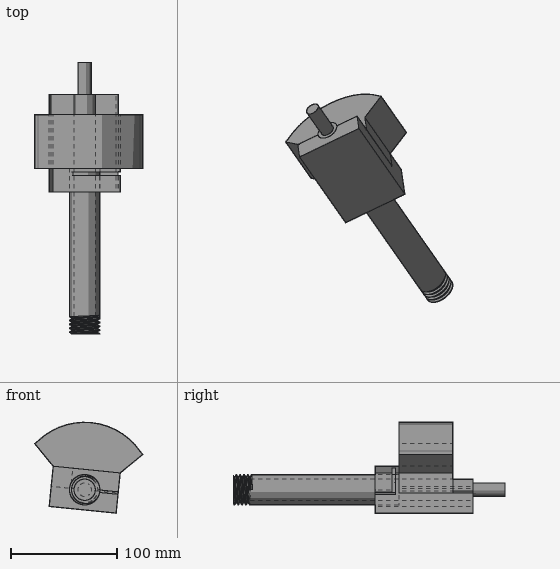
import cadquery as cq
import math

INCH = 25.4
TILT = 5.73

block_width = 2.5 * INCH
block_half_height = 0.75 * INCH
clamp_length = 0.875 * INCH
ledge_length = 0.75 * INCH

relief_width = 0.125 * INCH
web_thickness = 0.125 * INCH
relief_left = -13.1
slit_gap = 0.09375 * INCH

weight_length = 2.0 * INCH
weight_radius = 2.5 * INCH
rim_half_width = 1.9 * INCH

sleeve_diameter = 1.125 * INCH
sleeve_reach = 5.25 * INCH
shaft_diameter = 20.0
pin_diameter = 0.5 * INCH
pin_length = 30.0

thread_pitch = INCH / 7
thread_turns = 5
thread_flank_slope = math.tan(math.radians(30))
thread_root_width = thread_pitch / 4
thread_crest_width = thread_pitch / 8
thread_lead_in = thread_pitch / 2
cut_clearance = 0.2

weight_rear = clamp_length + weight_length
block_length = weight_rear + ledge_length
sleeve_front = -sleeve_reach


def box(x_range, y_range, z_range):
    """Box between the given limits on each axis."""
    size = [high - low for low, high in (x_range, y_range, z_range)]
    corner = cq.Vector(x_range[0], y_range[0], z_range[0])
    return cq.Workplane(cq.Solid.makeBox(*size, corner))


def rod(diameter, y_start, y_end):
    """Solid cylinder along the Y axis."""
    origin = cq.Vector(0, y_start, 0)
    return cq.Workplane(cq.Solid.makeCylinder(diameter / 2, y_end - y_start, origin, cq.Vector(0, 1, 0)))


def tilted(body):
    return body.rotate((0, 0, 0), (0, 1, 0), TILT)


def make_block():
    half_width = block_width / 2
    full_width = (-half_width, half_width)
    lower_half = box(full_width, (0, block_length), (-block_half_height, 0))
    upper_clamp = box(full_width, (0, clamp_length), (0, block_half_height))
    block = lower_half.union(upper_clamp)

    block = block.cut(rod(sleeve_diameter, 0, clamp_length))
    block = block.cut(rod(shaft_diameter, clamp_length, block_length))

    relief_rear = clamp_length - web_thickness
    relief_front = relief_rear - relief_width
    half_gap = slit_gap / 2
    slit = box((0, half_width), (0, relief_rear), (-half_gap, half_gap))
    right_relief = box((0, half_width), (relief_front, relief_rear), (-half_gap, block_half_height))
    left_relief = box((relief_left, 0), (relief_front, relief_rear), (0, block_half_height))
    return tilted(block.cut(slit).cut(right_relief).cut(left_relief))


def make_weight():
    """Round-topped weight, its neck flaring at 45 degrees to tips with short square-on flats."""
    neck = block_width / 2
    rim = rim_half_width
    rim_height = math.sqrt(weight_radius**2 - rim**2)
    flare_offset = neck - block_half_height
    tip = (rim + rim_height + flare_offset) / 2
    tip_height = tip - flare_offset
    weight = (
        cq.Workplane("XZ", origin=(0, weight_rear, 0))
        .moveTo(-neck, 0)
        .lineTo(-neck, block_half_height)
        .lineTo(-tip, tip_height)
        .lineTo(-rim, rim_height)
        .threePointArc((0, weight_radius), (rim, rim_height))
        .lineTo(tip, tip_height)
        .lineTo(neck, block_half_height)
        .lineTo(neck, 0)
        .close()
        .extrude(weight_length)
    )
    return tilted(weight.cut(rod(shaft_diameter, clamp_length, weight_rear)))


def make_thread_groove():
    """Right-hand helical groove, built up the Z axis and then laid along +Y."""
    half_root = thread_root_width / 2
    half_mouth = (thread_pitch - thread_crest_width) / 2
    depth = (half_mouth - half_root) / thread_flank_slope
    root_radius = sleeve_diameter / 2 - depth
    outer_radius = sleeve_diameter / 2 + cut_clearance
    half_outer = half_mouth + cut_clearance * thread_flank_slope
    helix = cq.Wire.makeHelix(thread_pitch, thread_turns * thread_pitch, root_radius)
    groove = (
        cq.Workplane("XZ")
        .moveTo(root_radius, -half_root)
        .lineTo(root_radius, half_root)
        .lineTo(outer_radius, half_outer)
        .lineTo(outer_radius, -half_outer)
        .close()
        .sweep(cq.Workplane(helix), isFrenet=True)
    )
    laid_down = groove.rotate((0, 0, 0), (1, 0, 0), -90)
    return laid_down.translate((0, sleeve_front - thread_lead_in, 0))


def make_sleeve():
    sleeve = rod(sleeve_diameter, sleeve_front, clamp_length)
    sleeve = sleeve.cut(rod(shaft_diameter, sleeve_front, clamp_length))
    return sleeve.cut(make_thread_groove())


def make_shaft():
    """Shaft flush with the sleeve's front and the block's rear, ending in a thinner pin."""
    pin = rod(pin_diameter, block_length, block_length + pin_length)
    return rod(shaft_diameter, sleeve_front, block_length).union(pin)


block = make_block()
weight = make_weight()
sleeve = make_sleeve()
shaft = make_shaft()

result = cq.Compound.makeCompound([block.val(), weight.val(), sleeve.val(), shaft.val()])